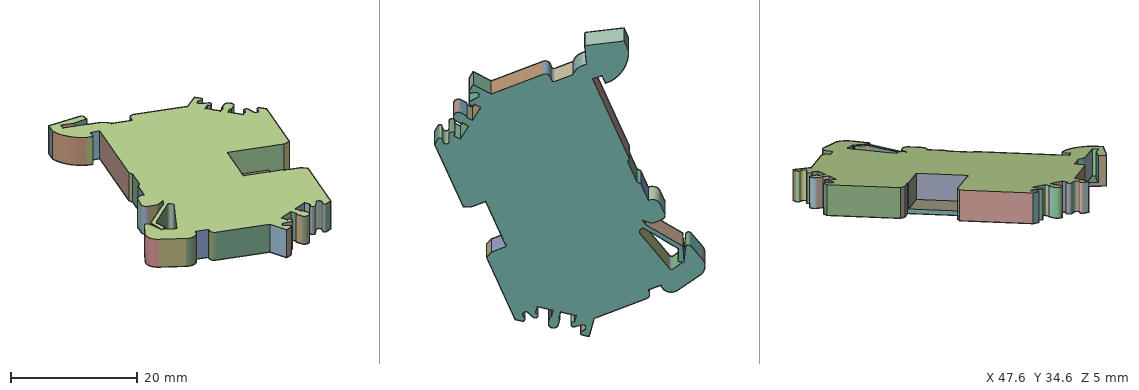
import cadquery as cq
import math


length = 47.6
thickness = 5.0
top_y = 27.45
foot_bottom_y = -7.15

body_half_width = 21.2
shoulder_y = 6.05
shoulder_radius = 0.85

slot_half_width = 4.25
slot_bevel_x = 0.5
slot_bevel_y = 1.1
slot_bottom_y = 23.85
pocket_right_x = 4.1
pocket_bottom_y = 16.95
pocket_floor_z = 0.75

axis_cos = 0.8
axis_sin = 0.6
comb_half_span = 6.05
comb_reach = 3.05
comb_center_x = -length / 2 + axis_sin * comb_half_span + axis_cos * comb_reach
comb_center_y = top_y - axis_cos * comb_half_span - axis_sin * comb_reach

half_comb = [
    (comb_half_span, comb_reach, 0),
    (4.65, comb_reach, 0.3),
    (4.5, 2.6, 0.1),
    (5.35, 1.7, 0.48),
    (4.7, 1.2, 0.4),
    (2.95, 2.2, 0.4),
    (2.5, 1.15, 0.35),
    (3.2, 1.15, 0),
    (3.2, 0, 0),
    (0.6, 0, 0),
    (0.55, 1.1, 0),
    (0.8, 1.1, 0),
    (0.8, 3.0, 0.75),
]

foot_wall_x = -20.2
nose_x = -15.95
nose_top_y = -1.55
nose_arc_y = -2.6
nose_bottom_x = -19.7
nose_bulge = 0.75
slit_bottom_y = -5.2
slit_mouth_y = -0.1
slit_web = 0.6
slit_mouth = (-22.0, -0.6)
slit_bend = (-21.2, -3.1)

left_neck_x = -19.33
left_neck_bottom_y = 2.55

right_neck_x = 19.9
foot_top_y = 3.9

stop_left_x = 5.47
stop_right_x = 9.42
stop_bottom_y = -1.48

recess_bottom_half = 2.4
recess_top_half = 1.8
recess_depth = 0.45


def corner_arc(before, corner, after, radius):
    """Start, middle and end of the arc of this radius that rounds off a corner."""
    start_dir = cq.Vector(before[0] - corner[0], before[1] - corner[1]).normalized()
    end_dir = cq.Vector(after[0] - corner[0], after[1] - corner[1]).normalized()
    half_angle = start_dir.getAngle(end_dir) / 2
    tangent = radius / math.tan(half_angle)
    middle = radius / math.sin(half_angle) - radius
    vertex = cq.Vector(corner[0], corner[1])
    bisector = (start_dir + end_dir).normalized()
    points = (vertex + start_dir * tangent, vertex + bisector * middle, vertex + end_dir * tangent)
    return [point.toTuple()[:2] for point in points]


def rounded_prism(corners, height):
    """Extrude a closed outline of (x, y, radius) corners; radius 0 keeps a corner sharp."""
    sketch = cq.Workplane("XY")
    started = False
    for index, (x, y, radius) in enumerate(corners):
        before = corners[index - 1]
        after = corners[(index + 1) % len(corners)]
        arc = corner_arc(before, (x, y), after, radius) if radius else [(x, y)]
        sketch = sketch.lineTo(*arc[0]) if started else sketch.moveTo(*arc[0])
        started = True
        if radius:
            sketch = sketch.threePointArc(arc[1], arc[2])
    return sketch.close().extrude(height)


def left_comb():
    """Left comb corners in plate coordinates, from the lower tip to the upper tip."""
    lower_half = [(-along, out, radius) for along, out, radius in half_comb]
    return [
        (
            comb_center_x + axis_sin * along - axis_cos * out,
            comb_center_y + axis_cos * along + axis_sin * out,
            radius,
        )
        for along, out, radius in lower_half + half_comb[::-1]
    ]


def mirrored(corners):
    """Mirror corners about the YZ plane, reversed so the outline keeps its direction."""
    return [(-x, y, radius) for x, y, radius in reversed(corners)]


tooth_root_y = (
    comb_center_y - axis_cos * comb_half_span
    + axis_sin / axis_cos * (comb_center_x - axis_sin * comb_half_span + body_half_width)
)
left_side = [
    (-body_half_width, shoulder_y, shoulder_radius),
    (-body_half_width, tooth_root_y, 0),
]

left_slot_wall = [
    (-slot_half_width - slot_bevel_x, top_y, 0),
    (-slot_half_width, top_y - slot_bevel_y, 0),
    (-slot_half_width, slot_bottom_y, 0),
]

upper_left = left_side + left_comb() + left_slot_wall

right_foot = [
    (right_neck_x, shoulder_y, 0),
    (right_neck_x, foot_top_y, 0),
    (22.3, foot_top_y, 1.7),
    (20.2, -4.47, 2.0),
    (14.85, -3.0, 0.48),
    (15.2, -2.35, 0.3),
    (17.6, -1.05, 0),
    (14.95, -1.95, 0.2),
    (9.25, 2.05, 0),
    (8.35, 2.2, 0),
]

rail_stop = [
    (stop_right_x, 1.05, 0.7),
    (stop_right_x, stop_bottom_y, 0.8),
    (stop_left_x, stop_bottom_y, 1.4),
    (stop_left_x, 0, 0),
]

rail_recess = [
    (recess_bottom_half, 0, 0),
    (recess_top_half, recess_depth, 0),
    (-recess_top_half, recess_depth, 0),
    (-recess_bottom_half, 0, 0),
]

left_foot_nose = [
    (-17.45, 0, 0),
    (-17.35, nose_top_y, 0),
    (nose_x, nose_top_y, 0),
    (nose_x, nose_arc_y, 0),
]

left_foot = [
    (nose_bottom_x, foot_bottom_y, 0),
    (-21.6, foot_bottom_y, 0),
    (-23.3, -1.05, 0.3),
    (foot_wall_x, slit_mouth_y, 0),
    (foot_wall_x, 1.7, 2.55),
    (left_neck_x, left_neck_bottom_y, 0),
    (left_neck_x, shoulder_y, 0.35),
]

plate_outline = (
    upper_left + mirrored(upper_left) + right_foot + rail_stop + rail_recess
    + left_foot_nose + left_foot
)

spring_window = [
    (10.0, 3.5, 0.3),
    (18.15, 1.4, 0.45),
    (17.55, -0.7, 0),
    (17.4, -0.7, 0),
    (17.15, -0.25, 0),
    (15.15, -1.15, 0.45),
    (9.45, 2.7, 0.3),
]

slit_outline = [
    (foot_wall_x, slit_mouth_y, 0),
    (foot_wall_x, slit_bottom_y, 0),
    (slit_bend[0], slit_bottom_y, 0),
    (*slit_bend, 0),
    (*slit_mouth, 0),
]

plate = rounded_prism(plate_outline, thickness)
window = rounded_prism(spring_window, thickness)
slit = rounded_prism(slit_outline, thickness - slit_web).translate((0, 0, slit_web))

nose = (
    cq.Workplane("XY")
    .moveTo(nose_bottom_x, foot_bottom_y)
    .sagittaArc((nose_x, nose_arc_y), -nose_bulge)
    .close()
    .extrude(thickness)
)

pocket = (
    cq.Workplane("XY", origin=(0, 0, pocket_floor_z))
    .moveTo(-slot_half_width, pocket_bottom_y)
    .lineTo(pocket_right_x, pocket_bottom_y)
    .lineTo(pocket_right_x, slot_bottom_y)
    .lineTo(-slot_half_width, slot_bottom_y)
    .close()
    .extrude(thickness - pocket_floor_z)
)

result = plate.union(nose).cut(window).cut(slit).cut(pocket)